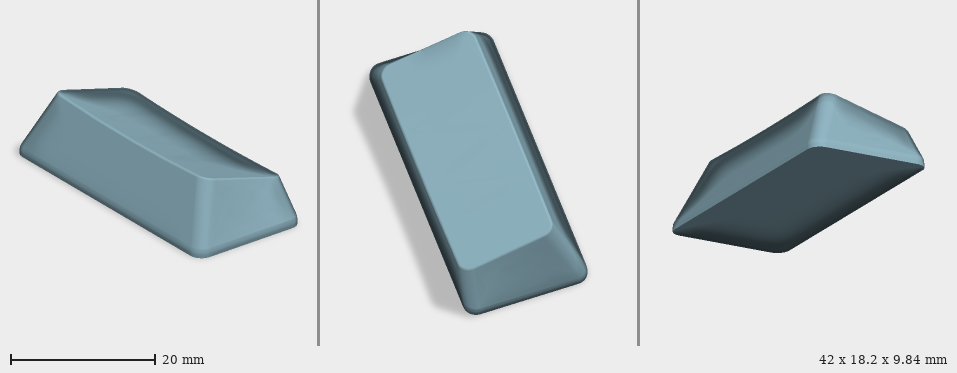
import cadquery as cq
import math

length = 41.95
width = 18.17
corner_radius = 1.9

skirt_height = 0.65
shoulder_rise = 0.67
side_lean = 23.7
front_lean = 23.7
back_lean = 4.5

lid_tilt = 15.7
lid_length = 34.5
lid_depth = 14.25
lid_front_y = -5.1
lid_front_z = 10.07

dish_radius = 314.78
dish_half_chord = 18.9
rim_radius = 0.35


def rounded_rectangle(size_x, size_y):
    """Flat rectangle with the corner radius that runs all the way up the cap."""
    return cq.Sketch().rect(size_x, size_y).vertices().fillet(corner_radius)


def shoulder_inset(lean, turn):
    """Inward travel of a shoulder arc once it has covered `turn` (0 to 1) of its rise.

    The arc starts upright and ends at the lean angle, given from vertical.
    """
    radius = shoulder_rise / math.sin(math.radians(lean))
    return radius - math.sqrt(radius**2 - (turn * shoulder_rise) ** 2)


def shoulder_section(turn):
    """Outline of the cap part-way up the shoulder."""
    side = shoulder_inset(side_lean, turn)
    front = shoulder_inset(front_lean, turn)
    back = shoulder_inset(back_lean, turn)
    center = cq.Vector(0, (front - back) / 2, skirt_height + turn * shoulder_rise)
    section = rounded_rectangle(length - 2 * side, width - front - back)
    return section.moved(cq.Location(center))


def make_lid_plane():
    """Plane of the lid, centred on it, with its local y running up the slope."""
    tilt = math.radians(lid_tilt)
    center_y = lid_front_y + lid_depth / 2 * math.cos(tilt)
    center_z = lid_front_z - lid_depth / 2 * math.sin(tilt)
    return cq.Plane((0, center_y, center_z), (1, 0, 0), (0, math.sin(tilt), math.cos(tilt)))


def make_dish_cutter(lid_plane):
    """Long cylinder lying on the lid, parallel to the slope."""
    axis_height = math.sqrt(dish_radius**2 - dish_half_chord**2)
    axis_plane = cq.Plane(lid_plane.origin, lid_plane.xDir, -lid_plane.yDir)
    axis = cq.Workplane(axis_plane).center(0, axis_height)
    return axis.circle(dish_radius).extrude(width, both=True)


lid_plane = make_lid_plane()
lid = rounded_rectangle(lid_length, lid_depth).moved(lid_plane.location)

skirt = cq.Workplane().placeSketch(rounded_rectangle(length, width)).extrude(skirt_height)
shoulder_sections = [shoulder_section(turn) for turn in (0, 0.5, 1)]
shoulder = cq.Workplane().placeSketch(*shoulder_sections).loft()
walls = cq.Workplane().placeSketch(shoulder_sections[-1], lid).loft(ruled=True)

body = skirt.union(shoulder).union(walls).cut(make_dish_cutter(lid_plane))
dish_face = body.faces("%CYLINDER").faces(">Z")
result = dish_face.edges().fillet(rim_radius)